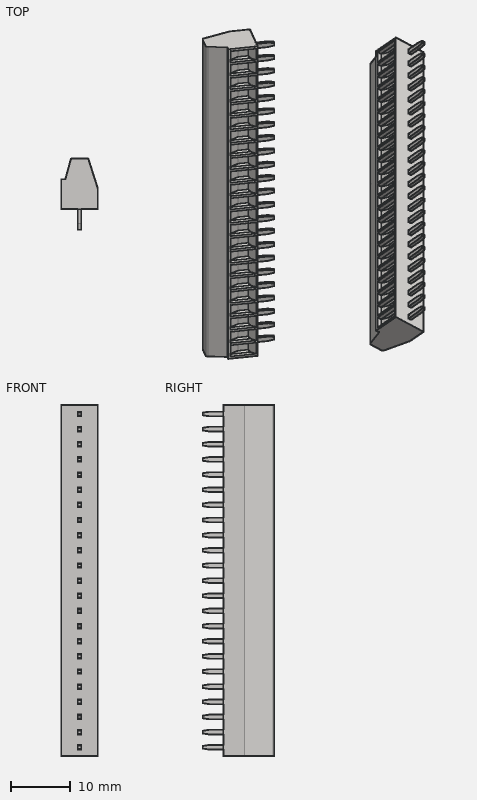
import cadquery as cq
import math


length = 58.9
width = 6.2
total_height = 12.0
pin_length = 3.5
housing_height = total_height - pin_length
side_x = width / 2

ledge_y = 5.05
ledge_width = 0.7
wire_side_lean = 15.3
shoulder_y = 3.5
ridge_edge_x = 1.5
ridge_radius = 0.35

pole_count = 23
end_margins = 0.5
pitch = (length - end_margins) / pole_count
first_pole_z = (end_margins + pitch) / 2

pocket_bottom_y = 0.3
pocket_top_y = 4.65
pocket_length_z = 2.1
pocket_depth = 1.1
ramp_angle = 45.0
back_lean = 12.2
back_height = 1.5
floor_bevel = 0.325

pin_width_x = 0.6
pin_width_z = 0.8
pin_tip_length = 1.1
pin_tip_width_z = 0.5


def make_housing():
    """Housing profile, extruded along the row of poles."""
    ledge_inner_x = -side_x + ledge_width
    ridge_start_x = ledge_inner_x + (housing_height - ledge_y) * math.tan(math.radians(wire_side_lean))
    profile = [
        (-side_x, 0),
        (side_x, 0),
        (side_x, shoulder_y),
        (ridge_edge_x, housing_height),
        (ridge_start_x, housing_height),
        (ledge_inner_x, ledge_y),
        (-side_x, ledge_y),
    ]
    body = cq.Workplane("XY").polyline(profile).close().extrude(length)
    return body.faces(">Y").edges("|Z").fillet(ridge_radius)


def make_pocket(pole_z):
    """Wire entry: a ramped recess whose floor is bevelled along both side walls."""
    upper_wall_depth = pocket_depth - back_height * math.tan(math.radians(back_lean))
    ramp_height = pocket_depth * math.tan(math.radians(ramp_angle))
    wall_x = -side_x
    floor_x = wall_x + pocket_depth
    depth_profile = [
        (wall_x, pocket_bottom_y),
        (floor_x, pocket_bottom_y + ramp_height),
        (floor_x, pocket_top_y - back_height),
        (wall_x + upper_wall_depth, pocket_top_y),
        (wall_x, pocket_top_y),
    ]
    half_length = pocket_length_z / 2
    recess = (
        cq.Workplane("XY", origin=(0, 0, pole_z - half_length))
        .polyline(depth_profile)
        .close()
        .extrude(pocket_length_z)
    )
    bevelled_block = (
        cq.Workplane("XY")
        .box(pocket_depth, pocket_top_y - pocket_bottom_y, pocket_length_z, centered=(False, False, True))
        .faces(">X")
        .edges("|Y")
        .chamfer(floor_bevel)
        .translate((wall_x, pocket_bottom_y, pole_z))
    )
    return recess.intersect(bevelled_block)


def make_pin(pole_z):
    """Rectangular pin below the housing, narrowing along Z at its tip."""
    half_width = pin_width_z / 2
    half_tip = pin_tip_width_z / 2
    taper_y = pin_tip_length - pin_length
    outline = [
        (0, -half_width),
        (taper_y, -half_width),
        (-pin_length, -half_tip),
        (-pin_length, half_tip),
        (taper_y, half_width),
        (0, half_width),
    ]
    return (
        cq.Workplane("YZ", origin=(-pin_width_x / 2, 0, pole_z))
        .polyline(outline)
        .close()
        .extrude(pin_width_x)
    )


result = make_housing()
for pole in range(pole_count):
    pole_z = first_pole_z + pole * pitch
    result = result.cut(make_pocket(pole_z)).union(make_pin(pole_z))